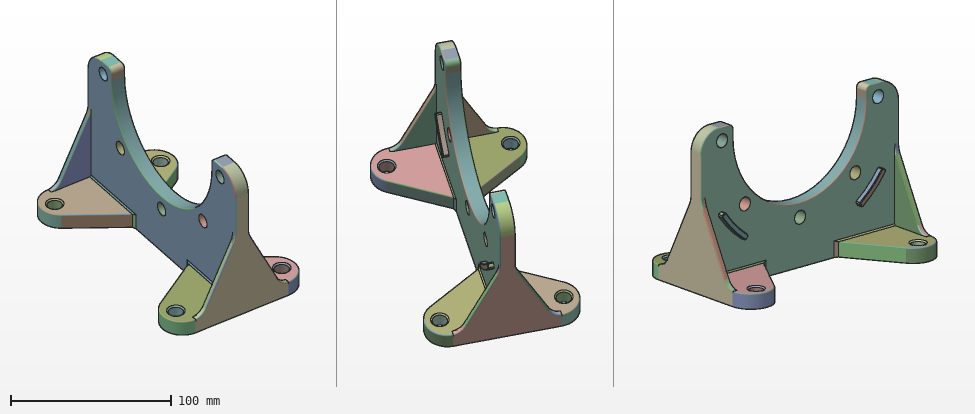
import cadquery as cq
import math

length = 165
depth = 100.0
height = 107.0

plate_thickness = 10.0
saddle_radius = 55.5
saddle_axis_z = 98.0
plate_corner_radius = 15.0
saddle_lip_radius = 3.5
bolt_circle_radius = 65.0
bolt_hole_diameter = 9.0
bolt_angles = (0, -45, -90, -135, -180)

foot_thickness = 10.0
foot_end_radius = 15.0
foot_inner_x = 30.4
foot_hole_y = 40.0
foot_hole_diameter = 9.5
foot_hole_chamfer = 1.0

gusset_thickness = 4.0
gusset_slope = 2
gusset_foot_y = 30.0
gusset_lower_radius = 10.0
gusset_upper_radius = 15.0

stop_inner_radius = 80.0
stop_width = 4.0
stop_height = 4.0
stop_mid_angle = -45
stop_half_angle = 9.8
stop_corner_chamfer = 0.8
stop_rim_chamfer = 0.5

edge_radius = 0.75
weld_size = 1.0
weld_side_reach = 2.1
right_angle = 90

half_length = length / 2
half_depth = depth / 2
face_y = plate_thickness / 2
foot_end_x = half_length - foot_end_radius
foot_end_y = half_depth - foot_end_radius
shoulder_z = height - plate_corner_radius
gusset_top_z = foot_thickness + gusset_slope * (gusset_foot_y - face_y)
selection_margin = 0.2


def box_between(low, high):
    """Selects edges whose centre lies inside the box."""
    return cq.selectors.BoxSelector(low, high)


def with_mirror(shape, plane):
    return shape.union(shape.mirror(plane))


def all_four(shape):
    return with_mirror(with_mirror(shape, "XZ"), "YZ")


def polar(radius, degrees, center=(0, 0)):
    angle = math.radians(degrees)
    return (center[0] + radius * math.cos(angle), center[1] + radius * math.sin(angle))


def around_saddle(radius, degrees):
    return polar(radius, degrees, (0, saddle_axis_z))


def front_sketch():
    """Workplane in X and Z on the rear face; extruding goes toward the front."""
    return cq.Workplane("XZ", origin=(0, face_y, 0))


def make_plate():
    plate = (
        front_sketch()
        .moveTo(-half_length, 0)
        .lineTo(-half_length, height)
        .lineTo(-saddle_radius, height)
        .lineTo(-saddle_radius, saddle_axis_z)
        .threePointArc(around_saddle(saddle_radius, -90), (saddle_radius, saddle_axis_z))
        .lineTo(saddle_radius, height)
        .lineTo(half_length, height)
        .lineTo(half_length, 0)
        .close()
        .extrude(plate_thickness)
    )
    lip_x = saddle_radius + selection_margin
    above_top = height + selection_margin
    lips = box_between((-lip_x, -depth, height - selection_margin), (lip_x, depth, above_top))
    plate = plate.edges("|Y").edges(lips).fillet(saddle_lip_radius)
    plate = plate.edges("|Y").edges("<X or >X").edges(">Z").fillet(plate_corner_radius)
    rim = box_between((-length, -depth, selection_margin), (length, depth, above_top))
    return plate.faces("<Y or >Y").edges(rim).fillet(edge_radius)


def foot_tangent_angle():
    """Direction, in degrees, in which the slanted side touches the round end of a foot."""
    run_x = foot_inner_x - foot_end_x
    run_y = face_y - foot_end_y
    to_corner = math.degrees(math.atan2(run_y, run_x)) + 360
    spread = math.degrees(math.acos(foot_end_radius / math.hypot(run_x, run_y)))
    return to_corner - spread


def make_foot():
    """One foot, reaching +X and +Y, with its slanted side tangent to the round end."""
    end = (foot_end_x, foot_end_y)
    tangent_angle = foot_tangent_angle()
    return (
        cq.Workplane("XY")
        .moveTo(foot_inner_x, face_y)
        .lineTo(*polar(foot_end_radius, tangent_angle, end))
        .threePointArc(polar(foot_end_radius, tangent_angle / 2, end), (half_length, foot_end_y))
        .lineTo(half_length, face_y)
        .close()
        .extrude(foot_thickness)
        .edges(">Z and (not <Y)")
        .fillet(edge_radius)
    )


def make_weld():
    """Bevel along the top and the slanted side of a foot, where it meets the plate."""
    foot_side_x = foot_inner_x - weld_size * math.tan(math.radians(foot_tangent_angle()))
    weld_end_x = half_length - gusset_thickness / 2

    def section(workplane, inner_x, top_z):
        return (
            workplane.moveTo(inner_x, 0)
            .lineTo(inner_x, top_z)
            .lineTo(weld_end_x, top_z)
            .lineTo(weld_end_x, 0)
            .close()
        )

    at_plate = section(front_sketch(), foot_inner_x - weld_side_reach, foot_thickness + weld_size)
    at_foot = section(at_plate.workplane(offset=-weld_size), foot_side_x, foot_thickness)
    return at_foot.loft(ruled=True)


def make_gusset():
    """Half of a side gusset, reaching +Y, with rounded bends and rounded sloping edges."""
    gusset = (
        cq.Workplane("YZ", origin=(half_length - gusset_thickness, 0, 0))
        .moveTo(0, 0)
        .lineTo(half_depth, 0)
        .lineTo(half_depth, foot_thickness)
        .lineTo(gusset_foot_y, foot_thickness)
        .lineTo(face_y, gusset_top_z)
        .lineTo(face_y, shoulder_z)
        .lineTo(0, shoulder_z)
        .close()
        .extrude(gusset_thickness)
    )
    bends = (
        (gusset_foot_y, foot_thickness, gusset_lower_radius),
        (face_y, gusset_top_z, gusset_upper_radius),
    )
    for y, z, radius in bends:
        bend = box_between(
            (0, y - selection_margin, z - selection_margin),
            (length, y + selection_margin, z + selection_margin),
        )
        gusset = gusset.edges("|X").edges(bend).fillet(radius)
    rim = box_between(
        (0, selection_margin, foot_thickness - selection_margin),
        (length, half_depth - selection_margin, shoulder_z - selection_margin),
    )
    gusset = gusset.edges("not |X").edges(rim).fillet(edge_radius)
    clip = cq.Workplane("XY").box(2 * length, 2 * foot_end_y, 2 * height)
    return gusset.intersect(clip)


def make_stop():
    outer_radius = stop_inner_radius + stop_width
    start = stop_mid_angle - stop_half_angle
    finish = stop_mid_angle + stop_half_angle
    stop = (
        front_sketch()
        .moveTo(*around_saddle(stop_inner_radius, start))
        .threePointArc(
            around_saddle(stop_inner_radius, stop_mid_angle), around_saddle(stop_inner_radius, finish)
        )
        .lineTo(*around_saddle(outer_radius, finish))
        .threePointArc(around_saddle(outer_radius, stop_mid_angle), around_saddle(outer_radius, start))
        .close()
        .extrude(-stop_height)
    )
    stop = stop.edges("|Y").chamfer(stop_corner_chamfer)
    return stop.faces(">Y").edges().chamfer(stop_rim_chamfer)


body = make_plate()
for corner in (make_foot(), make_weld(), make_gusset()):
    body = body.union(all_four(corner))
body = body.union(with_mirror(make_stop(), "YZ"))

bolt_places = [around_saddle(bolt_circle_radius, angle) for angle in bolt_angles]
body = body.cut(
    front_sketch().pushPoints(bolt_places).circle(bolt_hole_diameter / 2).extrude(plate_thickness)
)

foot_top = cq.Workplane("XY", origin=(0, 0, foot_thickness))
result = (
    body.copyWorkplane(foot_top)
    .rect(2 * foot_end_x, 2 * foot_hole_y, forConstruction=True)
    .vertices()
    .cskHole(foot_hole_diameter, foot_hole_diameter + 2 * foot_hole_chamfer, right_angle)
)